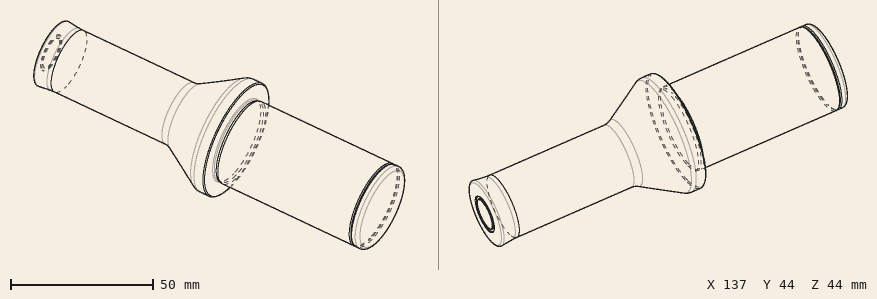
import cadquery as cq
import math

length = 137.0

head_radius = 12.6
neck_radius = 24.0 / 2
head_end = 7.4
taper_end = 5.8
taper_end_radius = 12.0
face_rise = 0.3
rim_round = 0.7
ring_outer_radius = 7.0
ring_inner_radius = 5.6
ring_depth = 0.3
ring_wall_slant = 0.3

collar_radius = 44.0 / 2
collar_start = 72.7
collar_end = 76.9
collar_chamfer = 0.4
flare_angle = math.radians(30.5)
flare_root_round = 5.9
flare_rim_round = 3.3

shaft_radius = 32.0 / 2
undercut_radius = 31.5 / 2
undercut_fillet = 0.4
undercut_floor_end = 78.1
undercut_end = 78.9
groove_start = 133.3
groove_end = 134.3
groove_depth = 0.3
shaft_end_round = 1.2


def arc_point(center_x, center_r, radius, angle):
    """Point on an arc, at an angle measured from the +X direction."""
    return (center_x + radius * math.cos(angle), center_r + radius * math.sin(angle))


def turn(profile):
    """Revolve a closed (x, radius) profile about the X axis."""
    return profile.close().revolve(360, (0, 0, 0), (1, 0, 0))


def make_head():
    rim_radius = head_radius - rim_round
    rim_end = face_rise + rim_round
    blank = turn(
        cq.Workplane("XY")
        .lineTo(0, ring_outer_radius)
        .lineTo(face_rise, rim_radius)
        .threePointArc(
            arc_point(rim_end, rim_radius, rim_round, math.radians(135)),
            (rim_end, head_radius),
        )
        .lineTo(taper_end, taper_end_radius)
        .lineTo(head_end, neck_radius)
        .lineTo(head_end, 0)
    )
    face_ring = turn(
        cq.Workplane("XY")
        .moveTo(0, ring_inner_radius)
        .lineTo(ring_depth, ring_inner_radius + ring_wall_slant)
        .lineTo(ring_depth, ring_outer_radius - ring_wall_slant)
        .lineTo(0, ring_outer_radius)
    )
    return blank.cut(face_ring)


def make_holder():
    round_drop = 1 - math.cos(flare_angle)
    cone_end = collar_start - flare_rim_round * math.sin(flare_angle)
    cone_end_radius = collar_radius - flare_rim_round * round_drop
    cone_start_radius = neck_radius + flare_root_round * round_drop
    cone_start = cone_end - (cone_end_radius - cone_start_radius) / math.tan(flare_angle)
    neck_end = cone_start - flare_root_round * math.sin(flare_angle)
    round_middle = (math.pi + flare_angle) / 2

    undercut_start = collar_end + undercut_fillet
    fillet_radius = undercut_radius + undercut_fillet
    end_round_start = length - shaft_end_round
    end_face_radius = shaft_radius - shaft_end_round

    return turn(
        cq.Workplane("XY")
        .moveTo(head_end, 0)
        .lineTo(head_end, neck_radius)
        .lineTo(neck_end, neck_radius)
        .threePointArc(
            arc_point(
                neck_end, neck_radius + flare_root_round, flare_root_round, (flare_angle - math.pi) / 2
            ),
            (cone_start, cone_start_radius),
        )
        .lineTo(cone_end, cone_end_radius)
        .threePointArc(
            arc_point(
                collar_start, collar_radius - flare_rim_round, flare_rim_round, round_middle
            ),
            (collar_start, collar_radius),
        )
        .lineTo(collar_end - collar_chamfer, collar_radius)
        .lineTo(collar_end, collar_radius - collar_chamfer)
        .lineTo(collar_end, fillet_radius)
        .threePointArc(
            arc_point(undercut_start, fillet_radius, undercut_fillet, math.radians(225)),
            (undercut_start, undercut_radius),
        )
        .lineTo(undercut_floor_end, undercut_radius)
        .lineTo(undercut_end, shaft_radius)
        .lineTo(groove_start, shaft_radius)
        .lineTo((groove_start + groove_end) / 2, shaft_radius - groove_depth)
        .lineTo(groove_end, shaft_radius)
        .lineTo(end_round_start, shaft_radius)
        .threePointArc(
            arc_point(end_round_start, end_face_radius, shaft_end_round, math.radians(45)),
            (length, end_face_radius),
        )
        .lineTo(length, 0)
    )


head = make_head()
holder = make_holder()

result = cq.Compound.makeCompound([head.val(), holder.val()])